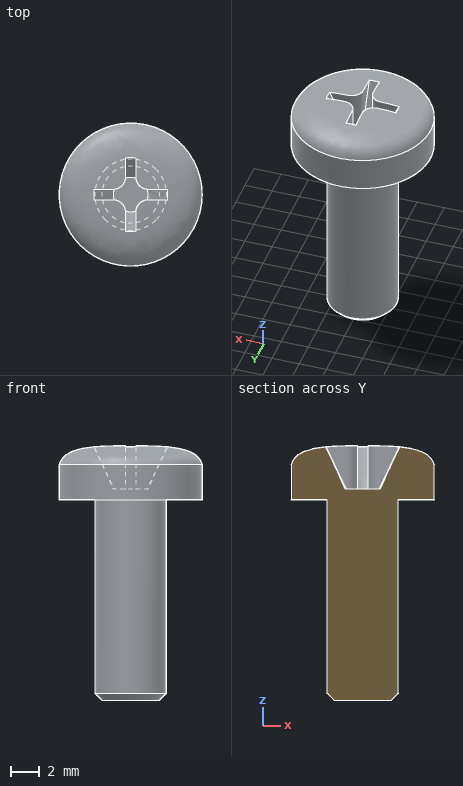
import cadquery as cq

total_length = 17.79
shank_diameter = 5.0
head_diameter = 2 * shank_diameter
tip_chamfer = 0.5
head_base_z = 14.0
head_band_height = 2.47
crown_control_radius = 2.49
edge_control_radius = 4.63
edge_control_drop = 0.02

recess_span = 5.23
wing_width = 0.73
recess_floor_diameter = 2.42
recess_depth = 3.02
recess_corner_radius = 0.85


def screw_body():
    """Revolved shank, head band and smoothly domed top."""
    shank_radius = shank_diameter / 2
    head_radius = head_diameter / 2
    band_top_z = head_base_z + head_band_height
    return (
        cq.Workplane("XZ")
        .moveTo(0, total_length)
        .bezier([(crown_control_radius, total_length),
                 (edge_control_radius, total_length - edge_control_drop),
                 (head_radius, band_top_z)], includeCurrent=True)
        .lineTo(head_radius, head_base_z)
        .lineTo(shank_radius, head_base_z)
        .lineTo(shank_radius, tip_chamfer)
        .lineTo(shank_radius - tip_chamfer, 0)
        .lineTo(0, 0)
        .close()
        .revolve(360, (0, 0, 0), (0, 1, 0))
    )


def recess_cutter():
    """Four wings with rounded inner corners, narrowing in a cone to the floor."""
    floor_z = total_length - recess_depth
    floor_radius = recess_floor_diameter / 2
    rim_radius = recess_span / 2
    cutter_height = 1.5 * recess_depth
    cone_slope = (rim_radius - floor_radius) / recess_depth
    cutter_top_radius = floor_radius + cone_slope * cutter_height
    cone = cq.Workplane(cq.Solid.makeCone(
        floor_radius, cutter_top_radius, cutter_height, pnt=cq.Vector(0, 0, floor_z)))

    wing_length = 2 * head_diameter
    wing_plane = cq.Workplane("XY").workplane(offset=floor_z)
    wings = (
        wing_plane.rect(wing_length, wing_width).extrude(cutter_height)
        .union(wing_plane.rect(wing_width, wing_length).extrude(cutter_height))
    )
    inner_corners = cq.selectors.BoxSelector(
        (-wing_width, -wing_width, floor_z),
        (wing_width, wing_width, floor_z + cutter_height))
    wings = wings.edges("|Z").edges(inner_corners).fillet(recess_corner_radius)
    return wings.intersect(cone)


result = screw_body().cut(recess_cutter())